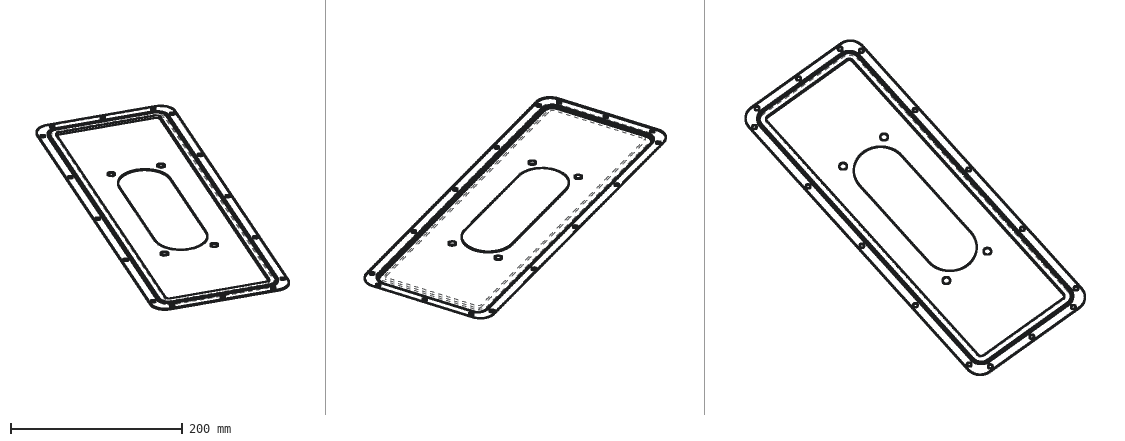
import cadquery as cq
import math

length = 445.0
width = 170.0
flange_corner_radius = 18.0
sheet = 1.5

recess_depth = 2.9
floor_margin = 13.5
recess_corner_radius = 15.0
wall_taper = 45.0

seal_width = 7.5
seal_side_height = 3.25
seal_height = 4.23

rim_hole_diameter = 5.5
rim_hole_edge = 5.0
rim_pitch_x = 100.0
rim_count_x = 5
rim_pitch_y = 62.5
rim_count_y = 3
slot_length = 192.0
slot_width = 62.7
mount_hole_diameter = 9.0
mount_spacing_x = 192.5
mount_spacing_y = 61.5

flange_bottom = recess_depth
flange_top = flange_bottom + sheet
wall_run = recess_depth * math.tan(math.radians(wall_taper))
recess_margin = floor_margin - wall_run
bend_shift = sheet * math.tan(math.radians((90 - wall_taper) / 2))
seal_margin = floor_margin + seal_width / 2
seal_corner_radius = recess_corner_radius - (seal_margin - recess_margin)


def rounded_outline(height, margin, corner_radius):
    """Rounded rectangle at a height, inset from the flange edge by a margin."""
    end_x = length / 2 - margin
    side_y = width / 2 - margin
    return (
        cq.Workplane("XY", origin=(0, 0, height))
        .moveTo(0, -side_y)
        .lineTo(end_x - corner_radius, -side_y)
        .tangentArcPoint((corner_radius, corner_radius))
        .lineTo(end_x, side_y - corner_radius)
        .tangentArcPoint((-corner_radius, corner_radius))
        .lineTo(-end_x + corner_radius, side_y)
        .tangentArcPoint((-corner_radius, -corner_radius))
        .lineTo(-end_x, -side_y + corner_radius)
        .tangentArcPoint((corner_radius, -corner_radius))
        .close()
    )


def centred_row(count, pitch):
    """Evenly spaced positions centred on zero."""
    return [(i - (count - 1) / 2) * pitch for i in range(count)]


def rim_hole_points():
    """Centres of the holes around the flange."""
    row_y = width / 2 - rim_hole_edge
    column_x = length / 2 - rim_hole_edge
    points = []
    for side in (-1, 1):
        points += [(x, side * row_y) for x in centred_row(rim_count_x, rim_pitch_x)]
        points += [(side * column_x, y) for y in centred_row(rim_count_y, rim_pitch_y)]
    return points


def make_blank_pan():
    """Flat flange, sloping wall and sunken floor, all of one sheet thickness."""
    flange = rounded_outline(flange_bottom, 0, flange_corner_radius).extrude(sheet)
    bowl = rounded_outline(
        flange_bottom, recess_margin + bend_shift, recess_corner_radius - bend_shift
    ).extrude(-recess_depth, taper=wall_taper)
    recess = rounded_outline(flange_top, recess_margin, recess_corner_radius).extrude(
        -recess_depth, taper=wall_taper
    )
    return flange.union(bowl).cut(recess)


def make_pan():
    """Pan with a central slot, four mounting holes and a ring of rim holes."""
    base = cq.Workplane("XY")
    slot = base.slot2D(slot_length, slot_width).extrude(flange_top)
    mount_holes = (
        base.rect(mount_spacing_x, mount_spacing_y, forConstruction=True)
        .vertices()
        .circle(mount_hole_diameter / 2)
        .extrude(flange_top)
    )
    rim_holes = base.pushPoints(rim_hole_points()).circle(rim_hole_diameter / 2).extrude(flange_top)
    return make_blank_pan().cut(slot).cut(mount_holes).cut(rim_holes)


def make_seal():
    """Dome-topped seal lying on the floor against the foot of the wall."""
    path = rounded_outline(sheet, seal_margin, seal_corner_radius)
    half_width = seal_width / 2
    return (
        cq.Workplane("YZ", origin=(0, seal_margin - width / 2, sheet))
        .moveTo(-half_width, 0)
        .lineTo(-half_width, seal_side_height)
        .threePointArc((0, seal_height), (half_width, seal_side_height))
        .lineTo(half_width, 0)
        .close()
        .sweep(path)
    )


pan = make_pan()
seal = make_seal()
result = cq.Compound.makeCompound([pan.val(), seal.val()])